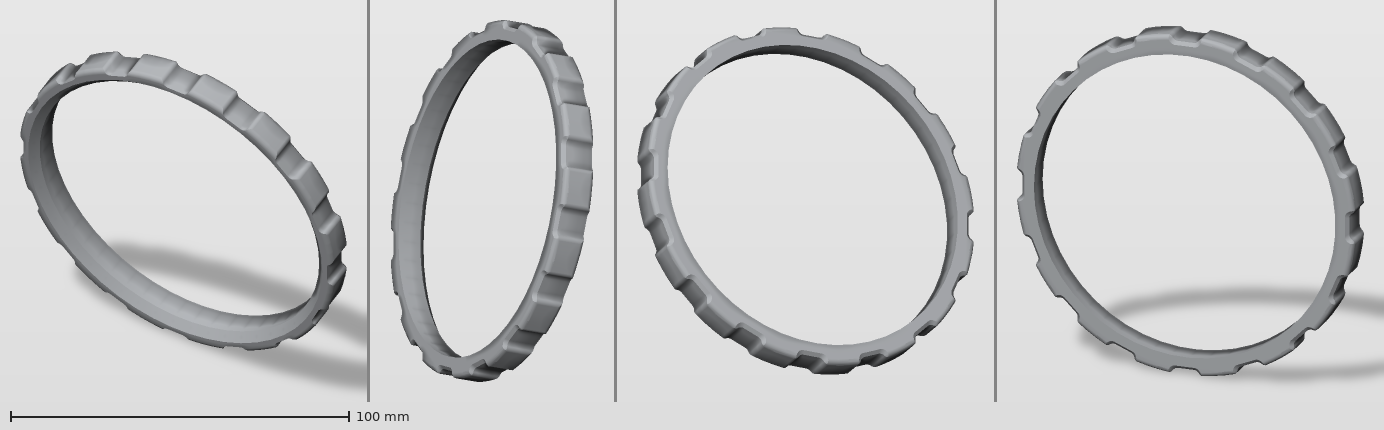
import cadquery as cq
import math

width = 9.9
bore_radius = 47.5
bore_chamfer = 2.5
tip_radius = 53.5
tip_fillet = 1.5

notch_count = 16
notch_depth = 2.0
tip_corner_angle = 6.05
flank_normal_angle = 58.0
corner_fillet = 1.5
root_fillet = 2.0
rear_chamfer = 1.0
cutter_clearance = 1.5

floor_height = tip_radius - notch_depth


def polar(radius, angle):
    """Point at a radius and an angle in degrees, measured from +Z towards +X."""
    return (radius * math.sin(math.radians(angle)), radius * math.cos(math.radians(angle)))


def moved(point, distance, angle):
    """Point moved over a distance in a polar direction."""
    step = polar(distance, angle)
    return (point[0] + step[0], point[1] + step[1])


def mirrored(point):
    return (-point[0], point[1])


def make_ring():
    """Plain ring with rounded outer edges and a chamfered front bore edge."""
    shoulder_radius = tip_radius - tip_fillet
    arc_offset = tip_fillet * math.sqrt(0.5)
    arc_radius = shoulder_radius + arc_offset
    arc_inset = tip_fillet - arc_offset
    section = (
        cq.Workplane("XY")
        .moveTo(bore_radius + bore_chamfer, 0)
        .lineTo(shoulder_radius, 0)
        .threePointArc((arc_radius, arc_inset), (tip_radius, tip_fillet))
        .lineTo(tip_radius, width - tip_fillet)
        .threePointArc((arc_radius, width - arc_inset), (shoulder_radius, width))
        .lineTo(bore_radius, width)
        .lineTo(bore_radius, bore_chamfer)
        .close()
    )
    return section.revolve(360, (0, 0, 0), (0, 1, 0))


def notch_wire(y, growth):
    """Closed notch outline around +Z at depth y, its floor and flanks moved outwards by growth."""
    normal = -flank_normal_angle
    corner_center_radius = tip_radius - corner_fillet
    floor = floor_height - growth

    nominal_corner_angle = math.radians(tip_corner_angle + flank_normal_angle)
    flank_distance = corner_center_radius * math.cos(nominal_corner_angle) + corner_fillet - growth

    corner_angle = normal + math.degrees(math.acos((flank_distance - corner_fillet) / corner_center_radius))
    corner_center = polar(corner_center_radius, corner_angle)

    flank_slope = math.radians(flank_normal_angle)
    root_height = floor + root_fillet
    root_distance = flank_distance + root_fillet
    root_x = (root_height * math.cos(flank_slope) - root_distance) / math.sin(flank_slope)
    root_center = (root_x, root_height)

    outer = polar(tip_radius + cutter_clearance, corner_angle)
    corner_start = polar(tip_radius, corner_angle)
    corner_middle = moved(corner_center, corner_fillet, (corner_angle + normal) / 2)
    corner_end = moved(corner_center, corner_fillet, normal)
    root_start = moved(root_center, -root_fillet, normal)
    root_middle = moved(root_center, -root_fillet, normal / 2)
    root_end = (root_x, floor)

    outline = (
        cq.Workplane("XZ", origin=(0, y, 0))
        .moveTo(*outer)
        .lineTo(*corner_start)
        .threePointArc(corner_middle, corner_end)
        .lineTo(*root_start)
        .threePointArc(root_middle, root_end)
        .lineTo(*mirrored(root_end))
        .threePointArc(mirrored(root_middle), mirrored(root_start))
        .lineTo(*mirrored(corner_end))
        .threePointArc(mirrored(corner_middle), mirrored(corner_start))
        .lineTo(*mirrored(outer))
        .close()
    )
    return outline.val()


def make_notch_cutter():
    """Straight notch that widens over the chamfer depth at the rear face."""
    chamfer_start = width - rear_chamfer
    front = notch_wire(0, 0)
    chamfer_front = notch_wire(chamfer_start, 0)
    chamfer_rear = notch_wire(width, rear_chamfer)
    straight = cq.Solid.extrudeLinear(front, [], cq.Vector(0, chamfer_start, 0))
    flared = cq.Solid.makeLoft([chamfer_front, chamfer_rear], True)
    return straight.fuse(flared)


def cut_notches(ring):
    cutter = make_notch_cutter()
    for index in range(notch_count):
        angle = index * 360 / notch_count
        ring = ring.cut(cutter.rotate(cq.Vector(0, 0, 0), cq.Vector(0, 1, 0), angle))
    return ring


result = cut_notches(make_ring())